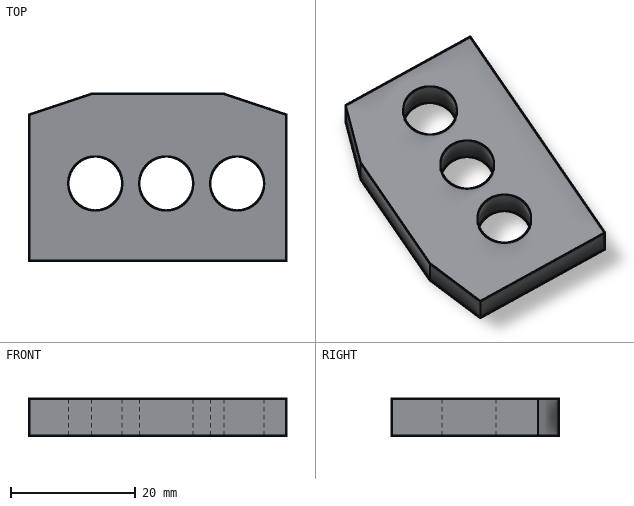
import cadquery as cq

length = 41.4
depth = 26.9
thickness = 6.0

corner_run = 10.05
corner_drop = 3.35

hole_diameter = 8.65
hole_count = 3
hole_pitch = 11.43
first_hole_x = 10.65
hole_row_y = 12.45

outline = [
    (0, 0),
    (length, 0),
    (length, depth - corner_drop),
    (length - corner_run, depth),
    (corner_run, depth),
    (0, depth - corner_drop),
]
plate = cq.Workplane("XY").polyline(outline).close().extrude(thickness)

hole_centers = [(first_hole_x + i * hole_pitch, hole_row_y) for i in range(hole_count)]
holes = cq.Workplane("XY").pushPoints(hole_centers).circle(hole_diameter / 2).extrude(thickness)

result = plate.cut(holes)